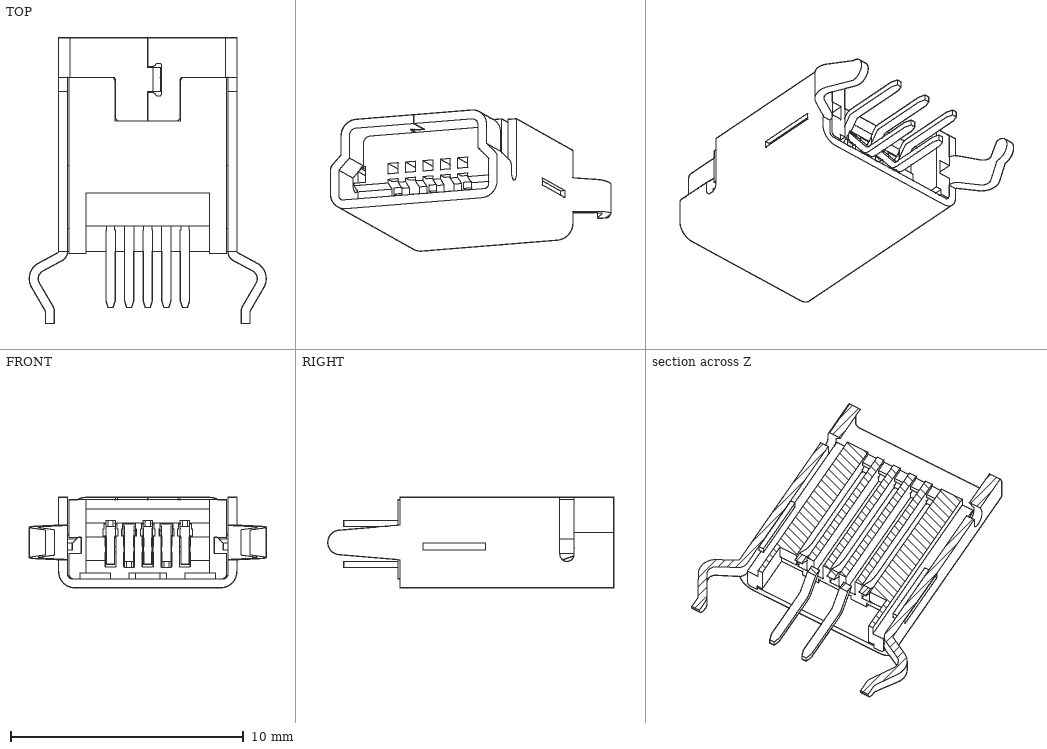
import cadquery as cq
import math


SHELL_HALF_WIDTH = 3.84
SHELL_HEIGHT = 3.9
WALL = 0.39
SHELL_LENGTH = 9.2
MOUTH_REAR = 7.49
BASE_RADIUS = 0.71
BASE_INNER_RADIUS = 0.2
INNER_HALF_WIDTH = SHELL_HALF_WIDTH - WALL
ROOF_BOTTOM = SHELL_HEIGHT - WALL

NECK_HALF_WIDTH = 3.35
NECK_BOTTOM = 2.37
SHOULDER_ANGLE = math.radians(45)
ROOF_RADIUS = 0.69
SHOULDER_RADIUS = 0.37

NOTCH_WIDTH = 0.62
NOTCH_BOTTOM = 1.15

TAB_HALF_WIDTH = 1.39
TAB_REAR = 5.62
TAB_CHAMFER = 0.1
TAB_FILLET = 0.12
SEAM_GAP = 0.04
LUG_REAR = 6.85
LUG_FRONT = 7.93
LUG_TOP_REACH = 0.23
LUG_REACH = 0.54
LUG_STEP_DEPTH = 0.27
POCKET_REACH = 0.59
POCKET_FLARE = 0.16
POCKET_CORNER = 0.05

DIMPLE_REAR = 1.0
DIMPLE_LENGTH = 2.69
DIMPLE_BOTTOM = 1.62
DIMPLE_HEIGHT = 0.31
DIMPLE_DEPTH = 0.21

LEG_ROOT_X = SHELL_HALF_WIDTH - WALL / 2
LEG_TAIL_X = 4.21
LEG_END = -3.1
LEG_PATH = [(LEG_ROOT_X, 0), (LEG_ROOT_X, -0.15), (5.12, -0.95), (LEG_TAIL_X, -2.51), (LEG_TAIL_X, LEG_END)]
LEG_BEND_RADII = [0.25, 0.57, 0.25]
LEG_CENTRE_Z = 1.95
LEG_ROOT_HALF_HEIGHT = 0.75
LEG_TIP_HALF_HEIGHT = 0.53
LEG_TIP_LENGTH = 0.47
LEG_TIP_ARC_START = LEG_END + LEG_TIP_LENGTH

HOUSING_HALF_WIDTH = 3.4
HOUSING_TOP = 3.8
HOUSING_REAR = -0.09
HOUSING_BASE_RADIUS = 0.18
TAB_CLEARANCE = 0.02
TAB_RECESS_HALF_WIDTH = TAB_HALF_WIDTH + TAB_CLEARANCE
RECESS_ROUND = 0.15
REAR_HALF_WIDTH = 2.65
TOP_STEP_FRONT = 2.51
TOP_STEP_Z = 3.4
LEDGE_REAR = 1.1
LEDGE_BOTTOM = 2.79
POCKET_WALL = 1.54
BOSS_BOTTOM = 1.18
BOSS_TOP = 2.19
BOSS_DEPTH = 0.12
CHANNEL_INNER_X = 2.87
CHANNEL_BOTTOM = 1.49
CHANNEL_TOP = 2.18
CHANNEL_LIP_INNER_X = 3.06
CHANNEL_LIP_BOTTOM = 2.1
CHANNEL_LIP_REAR = 3.94
GROOVE_TOP = 0.65
GROOVE_FRONT = 4.92
KEY_GROOVE_FRONT = 5.54
SIDE_GROOVE_INNER_X = 1.6
SIDE_GROOVE_OUTER_X = 2.92
MIDDLE_GROOVE_HALF_WIDTH = 0.81
KEY_GROOVE_HALF_WIDTH = 0.52
UNDERCUT_REAR = 7.01
UNDERCUT_REAR_Z = 1.2
UNDERCUT_FRONT_Z = 1.38

PIN_PITCH = 0.8
PIN_WIDTH = 0.4
PIN_THICKNESS = 0.27
PIN_END = -2.41
PIN_TIP_LENGTH = 0.3
PIN_TIP_WIDTH = 0.22
TAIL_WIDTHS = [(PIN_END, PIN_TIP_WIDTH), (PIN_END + PIN_TIP_LENGTH, PIN_WIDTH)]
PIN_SLOPE = math.radians(52)
ARM_SLOPE = math.radians(40)
ARM_WIDTH = 0.36
UPPER_TAIL_Z = 2.77
UPPER_BEND_Y = 0.59
ARM_KINK_Z = 2.32
CONTACT_ARM_Z = 1.15
CONTACT_ARM_FRONT = 6.89
UPPER_BEND_RADII = [0.28, 0.25, 1.35]
LOWER_TAIL_Z = 1.01
LOWER_BEND_Y = 0.38
SHANK_Z = 2.61
SHANK_WIDTH = 0.54
SHANK_REAR = 1.53
SHANK_FRONT = 5.54
LOWER_BEND_RADII = [0.38, 0.35]

SLOT_WIDTH = 0.45
SLOT_BOTTOM = 0.91
SLOT_TOP = 2.24
SLOT_BAR_REAR = 7.01
SLOT_BAR_BOTTOM = 1.54
SLOT_BAR_TOP = 1.78
WINDOW_FRONT = 1.85
WINDOW_WIDTH = 0.64
WINDOW_STEP_Z = 2.53
WINDOW_TOP_WIDTH = 0.55
SHANK_TOP = SHANK_Z + PIN_THICKNESS / 2

UPPER_PIN_XS = [-2 * PIN_PITCH, 0, 2 * PIN_PITCH]
LOWER_PIN_XS = [-PIN_PITCH, PIN_PITCH]


def block(x_range, y_range, z_range):
    """Box between the given limits along X, Y and Z."""
    size = [high - low for low, high in (x_range, y_range, z_range)]
    return cq.Workplane("XY").box(*size, centered=False).translate((x_range[0], y_range[0], z_range[0]))


def middle_block(half_width, y_range, z_range):
    """Box centred on X = 0."""
    return block((-half_width, half_width), y_range, z_range)


def both_sides(body):
    """The body together with its mirror image across X = 0."""
    return body.union(body.mirror("YZ"))


def extrude_along_y(outline, y_range):
    """Extrude an outline of the XZ plane between two Y positions."""
    return outline.extrude(y_range[0] - y_range[1]).translate((0, y_range[0], 0))


def bent_strip(plane, path, radii, thickness):
    """Outline of a strip that follows a path of straight runs joined by tangent bends."""
    sides = {1: [], -1: []}

    def normal(start, end):
        run = math.dist(start, end)
        return (start[1] - end[1]) / run, (end[0] - start[0]) / run

    def shifted(point, direction, distance):
        return point[0] + direction[0] * distance, point[1] + direction[1] * distance

    for before, corner, after, radius in zip(path, path[1:], path[2:], radii):
        normal_in = normal(before, corner)
        normal_out = normal(corner, after)
        turn = math.atan2(
            normal_in[0] * normal_out[1] - normal_in[1] * normal_out[0],
            normal_in[0] * normal_out[0] + normal_in[1] * normal_out[1],
        )
        inward = math.copysign(1, turn)
        bisector = (normal_in[0] + normal_out[0], normal_in[1] + normal_out[1])
        bisector_length = math.hypot(*bisector)
        bisector = (bisector[0] / bisector_length, bisector[1] / bisector_length)
        centre = shifted(corner, bisector, inward * radius / math.cos(turn / 2))
        for side, arcs in sides.items():
            reach = side * thickness / 2 - inward * radius
            arcs.append([shifted(centre, direction, reach) for direction in (normal_in, bisector, normal_out)])

    first = normal(path[0], path[1])
    last = normal(path[-2], path[-1])
    half = thickness / 2
    outline = cq.Workplane(plane).moveTo(*shifted(path[0], first, half))
    for start, middle, end in sides[1]:
        outline = outline.lineTo(*start).threePointArc(middle, end)
    outline = outline.lineTo(*shifted(path[-1], last, half)).lineTo(*shifted(path[-1], last, -half))
    for start, middle, end in reversed(sides[-1]):
        outline = outline.lineTo(*end).threePointArc(middle, start)
    return outline.lineTo(*shifted(path[0], first, -half)).close()


def tab_corners():
    """Selector for the vertical edges where the roof tab meets the rear of the mouth."""
    margin = 0.12
    reach = TAB_RECESS_HALF_WIDTH + margin
    low = (-reach, MOUTH_REAR - margin, ROOF_BOTTOM)
    return cq.selectors.BoxSelector(low, (reach, MOUTH_REAR + margin, SHELL_HEIGHT))


def shell_channel():
    """U-shaped floor and side walls behind the mouth."""
    y_range = (0, MOUTH_REAR)
    outer = middle_block(SHELL_HALF_WIDTH, y_range, (0, SHELL_HEIGHT)).edges("|Y and <Z").fillet(BASE_RADIUS)
    inner = middle_block(INNER_HALF_WIDTH, y_range, (WALL, SHELL_HEIGHT))
    return outer.cut(inner.edges("|Y and <Z").fillet(BASE_INNER_RADIUS))


def mouth_body(inset, base_radius, roof_radius):
    """Solid with the section of the mouth, moved inwards by an inset."""
    half_width = SHELL_HALF_WIDTH - inset
    neck_x = NECK_HALF_WIDTH - inset
    neck_z = NECK_BOTTOM - inset * math.tan(SHOULDER_ANGLE / 2)
    shoulder_z = neck_z - (half_width - neck_x) * math.tan(SHOULDER_ANGLE)
    half = [(0, inset), (half_width, inset), (half_width, shoulder_z), (neck_x, neck_z)]
    half += [(neck_x, SHELL_HEIGHT - inset), (0, SHELL_HEIGHT - inset)]
    body = extrude_along_y(cq.Workplane("XZ").polyline(half).close(), (MOUTH_REAR, SHELL_LENGTH))
    body = both_sides(body)
    return body.edges("|Y and <Z").fillet(base_radius).edges("|Y and >Z").fillet(roof_radius)


def shell_mouth():
    """Closed ring around the mating opening."""
    outer = mouth_body(0, BASE_RADIUS, ROOF_RADIUS)
    outer = outer.edges("|Y and (>X or <X)").edges(">Z").fillet(SHOULDER_RADIUS)
    return outer.cut(mouth_body(WALL, BASE_INNER_RADIUS, ROOF_RADIUS - WALL))


def relief_notches():
    """Slots with a round bottom through both side walls, just behind the mouth."""
    radius = NOTCH_WIDTH / 2
    rear = MOUTH_REAR - NOTCH_WIDTH
    return (
        cq.Workplane("YZ")
        .moveTo(rear, SHELL_HEIGHT)
        .lineTo(rear, NOTCH_BOTTOM + radius)
        .threePointArc((rear + radius, NOTCH_BOTTOM), (MOUTH_REAR, NOTCH_BOTTOM + radius))
        .lineTo(MOUTH_REAR, SHELL_HEIGHT)
        .close()
        .extrude(SHELL_HALF_WIDTH, both=True)
    )


def roof_tab():
    """Tab that reaches back from the mouth's roof over the housing."""
    z_range = (ROOF_BOTTOM, SHELL_HEIGHT)
    tab = middle_block(TAB_HALF_WIDTH, (TAB_REAR, MOUTH_REAR), z_range)
    return tab.edges("|Z and <Y").chamfer(TAB_CHAMFER)


def roof_seam():
    """Gap between the two halves of the roof, with the pocket around the lug."""
    half_gap = SEAM_GAP / 2
    z_range = (ROOF_BOTTOM, SHELL_HEIGHT)
    flare_x = LUG_TOP_REACH + POCKET_FLARE
    pocket_rear = LUG_REAR - POCKET_FLARE
    pocket_front = LUG_FRONT + POCKET_FLARE
    pocket = [(LUG_TOP_REACH, LUG_REAR), (flare_x, pocket_rear)]
    pocket += [(POCKET_REACH - POCKET_CORNER, pocket_rear), (POCKET_REACH, pocket_rear + POCKET_CORNER)]
    pocket += [(POCKET_REACH, pocket_front - POCKET_CORNER), (POCKET_REACH - POCKET_CORNER, pocket_front)]
    pocket += [(flare_x, pocket_front), (LUG_TOP_REACH, LUG_FRONT)]
    seam = cq.Workplane("XY").workplane(offset=ROOF_BOTTOM).polyline(pocket).close().extrude(WALL)
    seam = seam.union(middle_block(half_gap, (TAB_REAR, LUG_REAR + half_gap), z_range))
    seam = seam.union(middle_block(half_gap, (LUG_FRONT - half_gap, SHELL_LENGTH), z_range))
    for jog_y in (LUG_REAR, LUG_FRONT):
        seam = seam.union(block((-half_gap, LUG_TOP_REACH), (jog_y - half_gap, jog_y + half_gap), z_range))
    return seam


def lug_tip():
    """Lowered end of the lug inside the seam's pocket."""
    y_range = (LUG_REAR + SEAM_GAP / 2, LUG_FRONT - SEAM_GAP / 2)
    return block((LUG_TOP_REACH, LUG_REACH), y_range, (ROOF_BOTTOM, SHELL_HEIGHT - LUG_STEP_DEPTH))


def dimple(outer_x):
    """Block of a side wall's dimple, as deep as the dimple, ending at the given X."""
    y_range = (DIMPLE_REAR, DIMPLE_REAR + DIMPLE_LENGTH)
    z_range = (DIMPLE_BOTTOM, DIMPLE_BOTTOM + DIMPLE_HEIGHT)
    return both_sides(block((outer_x - DIMPLE_DEPTH, outer_x), y_range, z_range))


def spring_legs():
    """Bent legs behind both side walls, tapering to a round tip."""
    root_low = LEG_CENTRE_Z - LEG_ROOT_HALF_HEIGHT
    tip_low = LEG_CENTRE_Z - LEG_TIP_HALF_HEIGHT
    taper = (
        cq.Workplane("YZ")
        .moveTo(0, root_low)
        .lineTo(LEG_TIP_ARC_START, tip_low)
        .threePointArc((LEG_END, LEG_CENTRE_Z), (LEG_TIP_ARC_START, tip_low + 2 * LEG_TIP_HALF_HEIGHT))
        .lineTo(0, root_low + 2 * LEG_ROOT_HALF_HEIGHT)
        .close()
        .extrude(2 * SHELL_HALF_WIDTH)
    )
    leg = bent_strip("XY", LEG_PATH, LEG_BEND_RADII, WALL).extrude(SHELL_HEIGHT).intersect(taper)
    return both_sides(leg)


def make_shell():
    shell = shell_channel().cut(relief_notches()).union(shell_mouth()).union(roof_tab())
    shell = shell.edges("|Z").edges(tab_corners()).fillet(TAB_FILLET)
    shell = shell.cut(roof_seam()).union(lug_tip())
    shell = shell.cut(dimple(SHELL_HALF_WIDTH)).union(dimple(INNER_HALF_WIDTH))
    return shell.union(spring_legs())


def housing_block():
    """Outer block with the recess for the shell's roof tab."""
    body = middle_block(HOUSING_HALF_WIDTH, (HOUSING_REAR, MOUTH_REAR), (WALL, HOUSING_TOP))
    body = body.edges("|Y and <Z").fillet(HOUSING_BASE_RADIUS)
    recess = middle_block(TAB_RECESS_HALF_WIDTH, (TAB_REAR, MOUTH_REAR), (ROOF_BOTTOM, HOUSING_TOP))
    return body.cut(recess).edges("|Z").edges(tab_corners()).fillet(RECESS_ROUND)


def rear_pocket():
    """Stepped opening at the rear, leaving a ledge above the pins and a boss on each side."""
    top_step = middle_block(REAR_HALF_WIDTH, (HOUSING_REAR, TOP_STEP_FRONT), (TOP_STEP_Z, HOUSING_TOP))
    above = middle_block(REAR_HALF_WIDTH, (HOUSING_REAR, LEDGE_REAR), (LEDGE_BOTTOM, TOP_STEP_Z))
    below = middle_block(REAR_HALF_WIDTH, (HOUSING_REAR, POCKET_WALL), (WALL, LEDGE_BOTTOM))
    boss_inner_x = 2 * PIN_PITCH + SLOT_WIDTH / 2
    boss_range = (POCKET_WALL - BOSS_DEPTH, POCKET_WALL)
    boss = block((boss_inner_x, REAR_HALF_WIDTH), boss_range, (BOSS_BOTTOM, BOSS_TOP))
    return top_step.union(above).union(below.cut(both_sides(boss)))


def side_channels():
    """Channels along both sides that clear the shell's dimples, with a lower lip in front of them."""
    y_range = (HOUSING_REAR, MOUTH_REAR)
    channel = block((CHANNEL_INNER_X, HOUSING_HALF_WIDTH), y_range, (CHANNEL_BOTTOM, CHANNEL_TOP))
    lip_x_range = (CHANNEL_LIP_INNER_X, HOUSING_HALF_WIDTH)
    lip = block(lip_x_range, (CHANNEL_LIP_REAR, MOUTH_REAR), (CHANNEL_LIP_BOTTOM, CHANNEL_TOP))
    return both_sides(channel.cut(lip))


def base_grooves():
    """Blind grooves in the underside, the middle one with a narrower, longer key groove."""
    y_range = (HOUSING_REAR, GROOVE_FRONT)
    z_range = (WALL, GROOVE_TOP)
    grooves = both_sides(block((SIDE_GROOVE_INNER_X, SIDE_GROOVE_OUTER_X), y_range, z_range))
    grooves = grooves.union(middle_block(MIDDLE_GROOVE_HALF_WIDTH, y_range, z_range))
    return grooves.union(middle_block(KEY_GROOVE_HALF_WIDTH, (HOUSING_REAR, KEY_GROOVE_FRONT), z_range))


def front_undercut():
    """Sloping clearance under the front edge."""
    outline = [(UNDERCUT_REAR, WALL), (UNDERCUT_REAR, UNDERCUT_REAR_Z)]
    outline += [(MOUTH_REAR, UNDERCUT_FRONT_Z), (MOUTH_REAR, WALL)]
    return cq.Workplane("YZ").polyline(outline).close().extrude(HOUSING_HALF_WIDTH, both=True)


def pin_slot():
    """Slot through the housing in line with a pin, crossed by a bar at the front."""
    half = SLOT_WIDTH / 2
    slot = middle_block(half, (POCKET_WALL, MOUTH_REAR), (SLOT_BOTTOM, SLOT_TOP))
    return slot.cut(middle_block(half, (SLOT_BAR_REAR, MOUTH_REAR), (SLOT_BAR_BOTTOM, SLOT_BAR_TOP)))


def shank_hole():
    """Close-fitting blind hole for the shank of a lower pin."""
    z_range = (SHANK_TOP - PIN_THICKNESS, SHANK_TOP)
    return middle_block(SHANK_WIDTH / 2, (POCKET_WALL, SHANK_FRONT), z_range)


def pin_window():
    """Stepped blind window around the root of a pin."""
    y_range = (POCKET_WALL, WINDOW_FRONT)
    window = middle_block(WINDOW_WIDTH / 2, y_range, (SLOT_TOP, WINDOW_STEP_Z))
    return window.union(middle_block(WINDOW_TOP_WIDTH / 2, y_range, (WINDOW_STEP_Z, SHANK_TOP)))


def make_housing():
    housing = housing_block().cut(rear_pocket()).cut(side_channels()).cut(base_grooves()).cut(front_undercut())
    for x in UPPER_PIN_XS + LOWER_PIN_XS:
        housing = housing.cut(pin_slot().union(pin_window()).translate((x, 0, 0)))
    for x in LOWER_PIN_XS:
        housing = housing.cut(shank_hole().translate((x, 0, 0)))
    return housing


def pin_plan(widths):
    """Plan of a pin with a tapered tip, from (Y, width) pairs listed from the tip forwards."""
    right = [(width / 2, y) for y, width in widths]
    left = [(-x, y) for x, y in reversed(right)]
    return cq.Workplane("XY").polyline(right + left).close().extrude(SHELL_HEIGHT)


def bent_pin(path, radii, plan):
    """Strip bent along a path of (Y, Z) points and trimmed to its plan."""
    strip = bent_strip("YZ", path, radii, PIN_THICKNESS).extrude(SHANK_WIDTH, both=True)
    return strip.intersect(plan)


def make_upper_pin(x):
    """Pin with a high tail and a narrower, low contact arm."""
    kink_y = UPPER_BEND_Y + (UPPER_TAIL_Z - ARM_KINK_Z) / math.tan(PIN_SLOPE)
    arm_y = kink_y + (ARM_KINK_Z - CONTACT_ARM_Z) / math.tan(ARM_SLOPE)
    path = [(PIN_END, UPPER_TAIL_Z), (UPPER_BEND_Y, UPPER_TAIL_Z), (kink_y, ARM_KINK_Z)]
    path += [(arm_y, CONTACT_ARM_Z), (CONTACT_ARM_FRONT, CONTACT_ARM_Z)]
    arm = [(kink_y, PIN_WIDTH), (kink_y, ARM_WIDTH), (CONTACT_ARM_FRONT, ARM_WIDTH)]
    pin = bent_pin(path, UPPER_BEND_RADII, pin_plan(TAIL_WIDTHS + arm))
    return pin.translate((x, 0, 0))


def make_lower_pin(x):
    """Pin with a low tail and a wider, high shank held in the housing."""
    shank = [(SHANK_REAR, PIN_WIDTH), (SHANK_REAR, SHANK_WIDTH), (SHANK_FRONT, SHANK_WIDTH)]
    shank_y = LOWER_BEND_Y + (SHANK_Z - LOWER_TAIL_Z) / math.tan(PIN_SLOPE)
    path = [(PIN_END, LOWER_TAIL_Z), (LOWER_BEND_Y, LOWER_TAIL_Z), (shank_y, SHANK_Z), (SHANK_FRONT, SHANK_Z)]
    pin = bent_pin(path, LOWER_BEND_RADII, pin_plan(TAIL_WIDTHS + shank))
    return pin.translate((x, 0, 0))


shell = make_shell()
housing = make_housing()
upper_pins = [make_upper_pin(x).val() for x in UPPER_PIN_XS]
lower_pins = [make_lower_pin(x).val() for x in LOWER_PIN_XS]

result = cq.Compound.makeCompound([shell.val(), housing.val(), *upper_pins, *lower_pins])